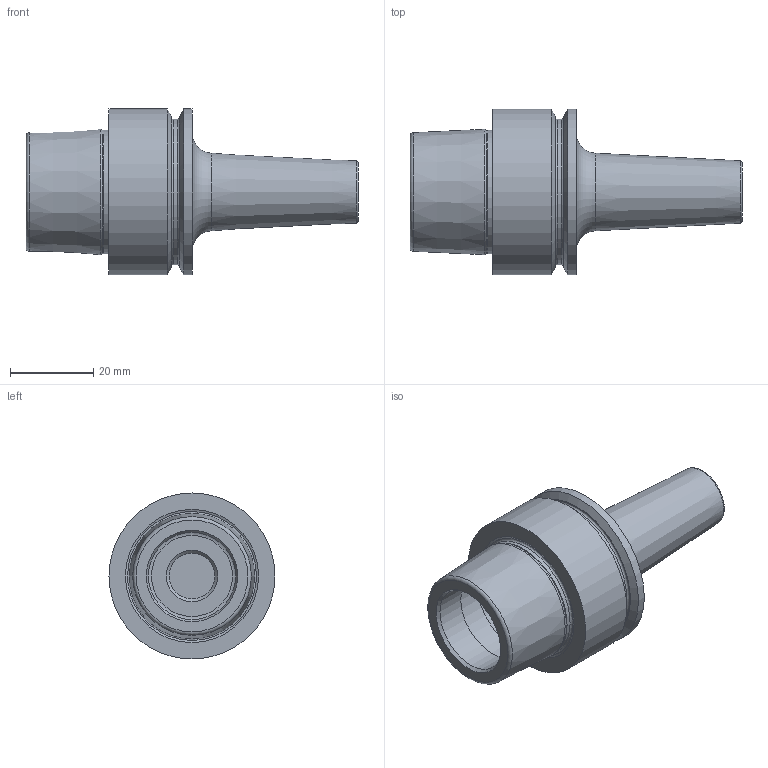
import cadquery as cq
import math

TAPER_END = 17.9
FLANGE_START = 20.0
FLANGE_END = 40.0
LENGTH = 80.0

NOSE_RADIUS = 14.25
RIM_RADIUS = 15.1
NECK_RADIUS = 14.9
NECK_RUN_IN_ANGLE = 15.0
NECK_RUN_IN_ROUNDING = 1.0
NOSE_ROUNDING = 0.8

RELIEF_MOUTH_RADIUS = 16.05
RELIEF_SLOPE_ANGLE = 22.0
RELIEF_ROUNDING = 0.45

FLANGE_RADIUS = 20.0
GROOVE_CENTRE = 36.0
GROOVE_HALF_WIDTH = 1.0
GROOVE_FLOOR_RADIUS = 17.5
GROOVE_FLOOR_ROUNDING = 0.5
GROOVE_FLARE = 1.0
GROOVE_FLARE_ANGLE = 30.0

SHANK_TIP_RADIUS = 7.5
SHANK_ANGLE = 3.0
SHANK_FILLET = 5.0
TIP_ROUNDING = 0.5

BORE_RADIUS = 10.5
BORE_CHAMFER_WIDTH = 0.5
BORE_CHAMFER_DEPTH = 0.85
UNDERCUT_START = 7.95
UNDERCUT_END = 15.6
UNDERCUT_RADIUS = 12.75
BORE_CONE_ANGLE = 10.0
BORE_DEPTH = 25.4
FLOOR_ROUNDING = 1.5
HOLE_RADIUS = 5.5
HOLE_CHAMFER = 0.7
HOLE_DEPTH = 5.0


def revolve_about_x(profile):
    """Turn a closed half profile, drawn as (x, radius), about the X axis."""
    return profile.close().revolve(360, (0, 0, 0), (1, 0, 0))


def round_circle(solid, x, radius, rounding):
    """Fillet the circular edge whose axial position and radius are given."""
    tolerance = 0.01

    def is_wanted(edge):
        box = edge.BoundingBox()
        in_plane = abs(box.xmin - x) < tolerance and abs(box.xmax - x) < tolerance
        return in_plane and abs(box.zmax - radius) < tolerance

    return solid.edges("%CIRCLE").filter(is_wanted).fillet(rounding)


def make_body():
    """Outer turned form: taper, neck, relieved flange and conical shank."""
    shank_slope = math.tan(math.radians(SHANK_ANGLE))
    shank_root_radius = SHANK_TIP_RADIUS + (LENGTH - FLANGE_END) * shank_slope
    run_in_slope = math.tan(math.radians(NECK_RUN_IN_ANGLE))
    neck_start = TAPER_END + (RIM_RADIUS - NECK_RADIUS) / run_in_slope
    relief_slope = math.tan(math.radians(RELIEF_SLOPE_ANGLE))
    relief_bottom = FLANGE_START + (RELIEF_MOUTH_RADIUS - NECK_RADIUS) * relief_slope
    profile = (
        cq.Workplane("XY")
        .moveTo(0, 0)
        .lineTo(0, NOSE_RADIUS)
        .lineTo(TAPER_END, RIM_RADIUS)
        .lineTo(neck_start, NECK_RADIUS)
        .lineTo(relief_bottom, NECK_RADIUS)
        .lineTo(FLANGE_START, RELIEF_MOUTH_RADIUS)
        .lineTo(FLANGE_START, FLANGE_RADIUS)
        .lineTo(FLANGE_END, FLANGE_RADIUS)
        .lineTo(FLANGE_END, shank_root_radius)
        .lineTo(LENGTH, SHANK_TIP_RADIUS)
        .lineTo(LENGTH, 0)
    )
    body = revolve_about_x(profile)
    body = round_circle(body, 0, NOSE_RADIUS, NOSE_ROUNDING)
    body = round_circle(body, neck_start, NECK_RADIUS, NECK_RUN_IN_ROUNDING)
    body = round_circle(body, relief_bottom, NECK_RADIUS, RELIEF_ROUNDING)
    body = round_circle(body, FLANGE_END, shank_root_radius, SHANK_FILLET)
    return round_circle(body, LENGTH, SHANK_TIP_RADIUS, TIP_ROUNDING)


def make_groove():
    """Ring removed for the gripper groove: parallel walls flaring to the rim."""
    flare_height = GROOVE_FLARE / math.tan(math.radians(GROOVE_FLARE_ANGLE))
    wall_top = FLANGE_RADIUS - flare_height
    mouth_half_width = GROOVE_HALF_WIDTH + GROOVE_FLARE
    round_start = GROOVE_FLOOR_RADIUS + GROOVE_FLOOR_ROUNDING
    floor_half_width = GROOVE_HALF_WIDTH - GROOVE_FLOOR_ROUNDING
    profile = (
        cq.Workplane("XY")
        .moveTo(GROOVE_CENTRE - mouth_half_width, FLANGE_RADIUS)
        .lineTo(GROOVE_CENTRE - GROOVE_HALF_WIDTH, wall_top)
        .lineTo(GROOVE_CENTRE - GROOVE_HALF_WIDTH, round_start)
        .radiusArc((GROOVE_CENTRE - floor_half_width, GROOVE_FLOOR_RADIUS), -GROOVE_FLOOR_ROUNDING)
        .lineTo(GROOVE_CENTRE + floor_half_width, GROOVE_FLOOR_RADIUS)
        .radiusArc((GROOVE_CENTRE + GROOVE_HALF_WIDTH, round_start), -GROOVE_FLOOR_ROUNDING)
        .lineTo(GROOVE_CENTRE + GROOVE_HALF_WIDTH, wall_top)
        .lineTo(GROOVE_CENTRE + mouth_half_width, FLANGE_RADIUS)
    )
    return revolve_about_x(profile)


def make_bore():
    """Chamfered bore, wider undercut narrowing to a rounded floor, and a small blind hole."""
    cone_slope = math.tan(math.radians(BORE_CONE_ANGLE))
    floor_radius = UNDERCUT_RADIUS - (BORE_DEPTH - UNDERCUT_END) * cone_slope
    hole_bottom = BORE_DEPTH + HOLE_DEPTH
    profile = (
        cq.Workplane("XY")
        .moveTo(0, 0)
        .lineTo(0, BORE_RADIUS + BORE_CHAMFER_WIDTH)
        .lineTo(BORE_CHAMFER_DEPTH, BORE_RADIUS)
        .lineTo(UNDERCUT_START, BORE_RADIUS)
        .lineTo(UNDERCUT_START, UNDERCUT_RADIUS)
        .lineTo(UNDERCUT_END, UNDERCUT_RADIUS)
        .lineTo(BORE_DEPTH, floor_radius)
        .lineTo(BORE_DEPTH, HOLE_RADIUS + HOLE_CHAMFER)
        .lineTo(BORE_DEPTH + HOLE_CHAMFER, HOLE_RADIUS)
        .lineTo(hole_bottom, HOLE_RADIUS)
        .lineTo(hole_bottom, 0)
    )
    bore = revolve_about_x(profile)
    return round_circle(bore, BORE_DEPTH, floor_radius, FLOOR_ROUNDING)


result = make_body().cut(make_groove()).cut(make_bore())